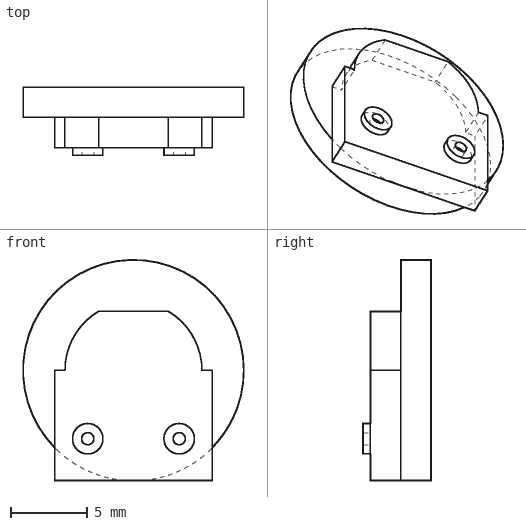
import cadquery as cq
import math

disc_diameter = 14.5
plate_thickness = 2.0

block_width = 10.35
crown_radius = 4.5
crown_height = 3.87

boss_diameter = 2.0
boss_hole_diameter = 0.8
boss_height = 0.5
boss_spacing = 6.0
boss_drop = 4.5

disc_radius = disc_diameter / 2
block_front = -2 * plate_thickness


def make_disc():
    """Disc with its back face at Y = 0, extending towards -Y."""
    return cq.Workplane("XZ").circle(disc_radius).extrude(plate_thickness)


def make_block():
    """Square-shouldered block with a rounded, flat-topped crown."""
    half_width = block_width / 2
    half_flat = math.sqrt(crown_radius**2 - crown_height**2)
    arc_angle = math.asin(crown_height / crown_radius) / 2
    arc_x = crown_radius * math.cos(arc_angle)
    arc_z = crown_radius * math.sin(arc_angle)
    return (
        cq.Workplane("XZ", origin=(0, -plate_thickness, 0))
        .moveTo(-half_width, -disc_radius)
        .lineTo(half_width, -disc_radius)
        .lineTo(half_width, 0)
        .lineTo(crown_radius, 0)
        .threePointArc((arc_x, arc_z), (half_flat, crown_height))
        .lineTo(-half_flat, crown_height)
        .threePointArc((-arc_x, arc_z), (-crown_radius, 0))
        .lineTo(-half_width, 0)
        .close()
        .extrude(plate_thickness)
    )


def make_bosses():
    """Two rings whose holes end at the front face of the block."""
    return (
        cq.Workplane("XZ", origin=(0, block_front, -boss_drop))
        .pushPoints([(-boss_spacing / 2, 0), (boss_spacing / 2, 0)])
        .circle(boss_diameter / 2)
        .circle(boss_hole_diameter / 2)
        .extrude(boss_height)
    )


result = make_disc().union(make_block()).union(make_bosses())